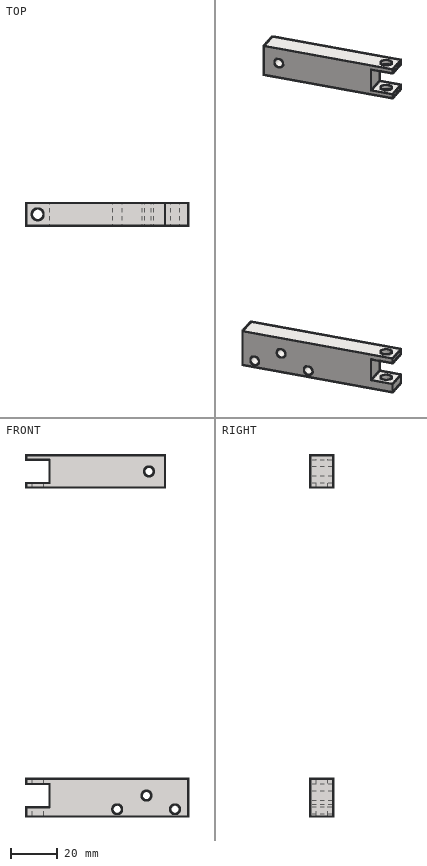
import cadquery as cq

overall_height = 156.0
arm_width = 10.0
slot_depth = 10.0
slot_height = 10.0
pivot_diameter = 5.0
cross_hole_diameter = 4.0

upper_length = 60.0
upper_prong = 2.0
upper_height = slot_height + 2 * upper_prong
upper_bottom = overall_height - upper_height
upper_hole_x = 53.0

lower_length = 70.0
lower_bottom_prong = 4.0
lower_top_prong = 2.3
lower_height = lower_bottom_prong + slot_height + lower_top_prong
lower_slot_middle = lower_bottom_prong + slot_height / 2
pair_hole_x = 39.3
pair_spacing = 25.0
pair_hole_z = 3.1
middle_hole_x = 52.0


def make_fork(length, height, bottom_prong):
    """Bar resting on Z = 0 with an open slot and a vertical pivot hole through both prongs."""
    bar = cq.Workplane("XY").box(length, arm_width, height, centered=(False, True, False))
    slot = (
        cq.Workplane("XY", origin=(0, 0, bottom_prong))
        .box(slot_depth, arm_width, slot_height, centered=(False, True, False))
    )
    pivot_hole = (
        cq.Workplane("XY", origin=(slot_depth / 2, 0, 0))
        .circle(pivot_diameter / 2)
        .extrude(height)
    )
    return bar.cut(slot).cut(pivot_hole)


def drill_cross_holes(arm, centers):
    """Drill holes along Y through the full width at the given (X, Z) centers."""
    holes = (
        cq.Workplane("XZ", origin=(0, arm_width / 2, 0))
        .pushPoints(centers)
        .circle(cross_hole_diameter / 2)
        .extrude(arm_width)
    )
    return arm.cut(holes)


def make_upper_arm():
    fork = make_fork(upper_length, upper_height, upper_prong)
    arm = drill_cross_holes(fork, [(upper_hole_x, upper_height / 2)])
    return arm.translate((0, 0, upper_bottom))


def make_lower_arm():
    fork = make_fork(lower_length, lower_height, lower_bottom_prong)
    centers = [
        (pair_hole_x, pair_hole_z),
        (pair_hole_x + pair_spacing, pair_hole_z),
        (middle_hole_x, lower_slot_middle),
    ]
    return drill_cross_holes(fork, centers)


upper_arm = make_upper_arm()
lower_arm = make_lower_arm()

result = cq.Compound.makeCompound([upper_arm.val(), lower_arm.val()])